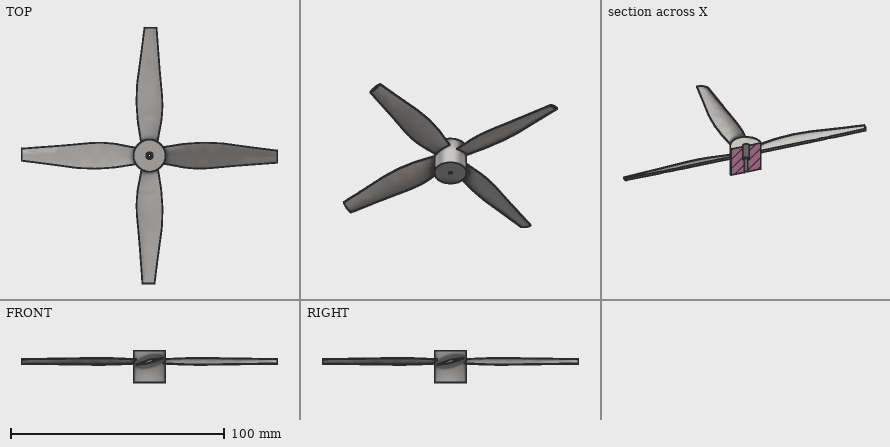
import cadquery as cq
import math

HUB_DIAMETER = 15.0
HUB_HEIGHT = 15.0
SHAFT_BORE_DIAMETER = 3.2
SHAFT_BORE_DEPTH = HUB_HEIGHT / 2
THROUGH_BORE_DIAMETER = 1.5

BLADE_COUNT = 4
TIP_RADIUS = 60
BLADE_MID_HEIGHT = 10.0
BLADE_THICKNESS = 1.5
BLADE_EDGE_THICKNESS = 0.4

BLADE_STATIONS = [
    (6, 4.0, -3.8, 14),
    (15.0, 5.4, -5.4, 14),
    (24, 6.1, -6.1, 14),
    (33.0, 5.9, -5.5, 14),
    (42, 4.8, -4.7, 15),
    (51.0, 3.5, -4.0, 17),
    (TIP_RADIUS, 2.4, -3.4, 20),
]


def make_hub():
    """Plain cylinder with a shaft bore from the top and a smaller bore through the rest."""
    hub = cq.Workplane("XY").circle(HUB_DIAMETER / 2).extrude(HUB_HEIGHT)
    return hub.faces(">Z").workplane().cboreHole(
        THROUGH_BORE_DIAMETER, SHAFT_BORE_DIAMETER, SHAFT_BORE_DEPTH
    )


def blade_section(radius, raised_edge, lowered_edge, pitch):
    """Lens of two arcs joined by blunt edges, in a plane across the blade, tilted by the pitch."""
    slope = math.radians(pitch)
    middle = (raised_edge + lowered_edge) / 2
    half_thickness = BLADE_THICKNESS / 2
    half_edge = BLADE_EDGE_THICKNESS / 2

    def edge_point(y, offset):
        return cq.Vector(radius, y, BLADE_MID_HEIGHT + (y - middle) * math.tan(slope) + offset)

    def crown_point(offset):
        y = middle - offset * math.sin(slope)
        return cq.Vector(radius, y, BLADE_MID_HEIGHT + offset * math.cos(slope))

    raised_top = edge_point(raised_edge, half_edge)
    raised_bottom = edge_point(raised_edge, -half_edge)
    lowered_top = edge_point(lowered_edge, half_edge)
    lowered_bottom = edge_point(lowered_edge, -half_edge)
    return cq.Wire.assembleEdges([
        cq.Edge.makeThreePointArc(lowered_top, crown_point(half_thickness), raised_top),
        cq.Edge.makeLine(raised_top, raised_bottom),
        cq.Edge.makeThreePointArc(raised_bottom, crown_point(-half_thickness), lowered_bottom),
        cq.Edge.makeLine(lowered_bottom, lowered_top),
    ])


def make_blade():
    """Twisted blade along +X, with its root trimmed to sit on the round hub side."""
    sections = [blade_section(*station) for station in BLADE_STATIONS]
    blade = cq.Workplane(obj=cq.Solid.makeLoft(sections))
    hub_envelope = cq.Workplane("XY").circle(HUB_DIAMETER / 2).extrude(HUB_HEIGHT)
    return blade.cut(hub_envelope)


hub = make_hub()
first_blade = make_blade()
blades = []
for index in range(BLADE_COUNT):
    angle = index * 360 / BLADE_COUNT
    blades.append(first_blade.rotate((0, 0, 0), (0, 0, 1), angle).val())

result = cq.Compound.makeCompound([hub.val(), *blades])